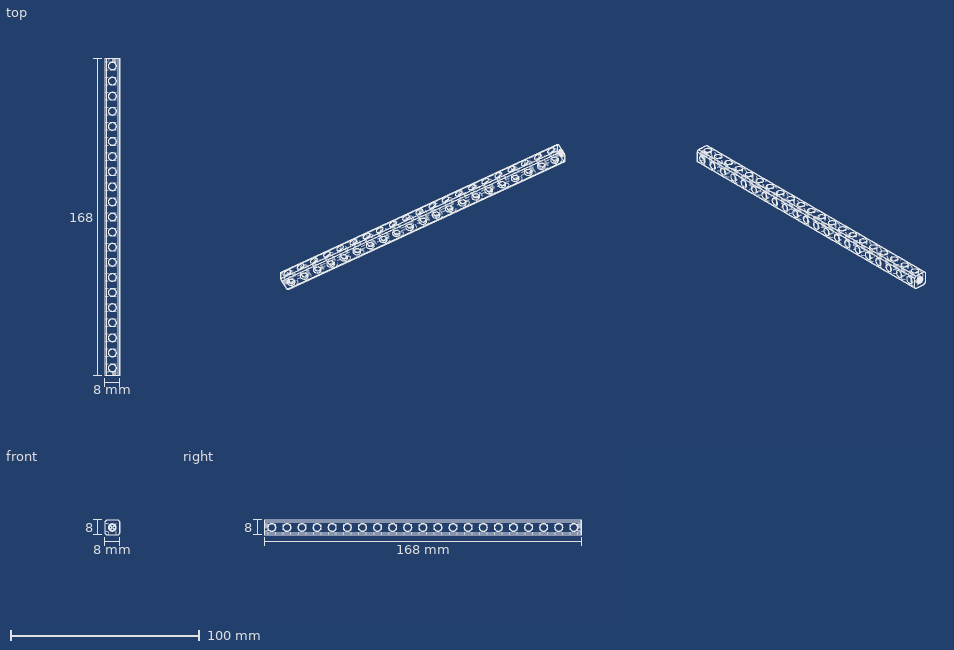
import cadquery as cq

WIDTH = 8.0
HOLE_COUNT = 21
PITCH = WIDTH
LENGTH = HOLE_COUNT * PITCH
HOLE_RADIUS = 2.0
CORNER_ROUND_DIAMETER = 10.0

THREAD_MAJOR_RADIUS = HOLE_RADIUS
THREAD_MINOR_RADIUS = 1.65
THREAD_PITCH = 0.7
THREAD_TURNS = 5


def make_beam():
    """Square bar whose four long edges are rounded by the corner cylinder."""
    square_bar = cq.Workplane("XY").box(WIDTH, LENGTH, WIDTH)
    round_bar = cq.Workplane("XZ").circle(CORNER_ROUND_DIAMETER / 2).extrude(LENGTH / 2, both=True)
    return square_bar.intersect(round_bar)


def make_cross_hole_row():
    """Row of vertical hole cutters along Y, one per pitch and centred on the beam."""
    return (
        cq.Workplane("XY")
        .rarray(PITCH, PITCH, 1, HOLE_COUNT)
        .circle(HOLE_RADIUS)
        .extrude(WIDTH, both=True)
    )


def make_end_bore():
    """Cutter for the bore in the -Y end: V grooves stacked along the beam axis."""
    end_y = -LENGTH / 2
    outline = cq.Workplane("XY").moveTo(0, end_y).lineTo(THREAD_MAJOR_RADIUS, end_y)
    for turn in range(THREAD_TURNS):
        groove_y = end_y + turn * THREAD_PITCH
        outline = outline.lineTo(THREAD_MINOR_RADIUS, groove_y + THREAD_PITCH / 2)
        outline = outline.lineTo(THREAD_MAJOR_RADIUS, groove_y + THREAD_PITCH)
    bore_end_y = end_y + THREAD_TURNS * THREAD_PITCH
    outline = outline.lineTo(0, bore_end_y).close()
    return outline.revolve(360, (0, 0, 0), (0, 1, 0))


vertical_holes = make_cross_hole_row()
horizontal_holes = vertical_holes.rotate((0, 0, 0), (0, 1, 0), 90)
near_bore = make_end_bore()
far_bore = near_bore.mirror("XZ")

result = make_beam()
for cutter in (vertical_holes, horizontal_holes, near_bore, far_bore):
    result = result.cut(cutter)